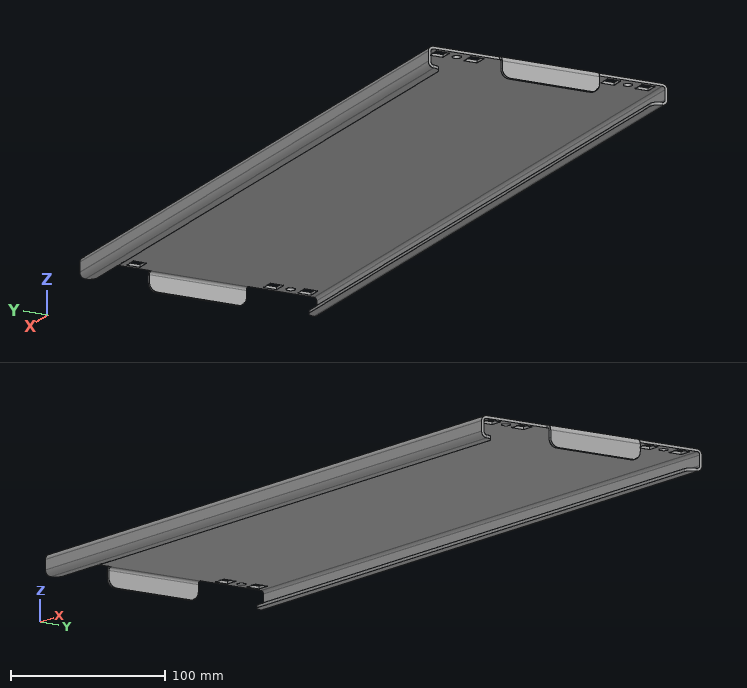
import cadquery as cq

overall_length = 499.0
width = 175.0
height = 15.0

sheet = 2.0
inner_bend_radius = 2.0
outer_bend_radius = inner_bend_radius + sheet

lip_width = 10.0
free_corner_radius = 6.0
tab_width = 71.0
panel_length = overall_length - 2 * outer_bend_radius

hole_pitch = 12.5
group_center_y = 62.5
hole_edge_distance = 8.0
square_size = 9.5
round_diameter = 6.0

SIDES = (-1, 1)


def rounded_bar(bar_width, bar_height, corner_radius):
    """Bar along X, as long as the panel, with its four long edges rounded."""
    bar = cq.Workplane("XY").box(panel_length, bar_width, bar_height)
    return bar.edges("|X").fillet(corner_radius)


def make_panel():
    """Top plate with both long sides folded down and then inwards."""
    outer = rounded_bar(width, height, outer_bend_radius)
    inner = rounded_bar(width - 2 * sheet, height - 2 * sheet, inner_bend_radius)
    lip_gap = (
        cq.Workplane("XY", origin=(0, 0, -height / 2))
        .rect(panel_length, width - 2 * lip_width)
        .extrude(sheet)
    )
    panel = outer.cut(inner).cut(lip_gap)
    lip_corners = cq.selectors.BoxSelector(
        (-overall_length, -width / 2 + outer_bend_radius, -height / 2),
        (overall_length, width / 2 - outer_bend_radius, -height / 2 + sheet),
    )
    return panel.edges("|Z").edges(lip_corners).fillet(free_corner_radius)


def make_end_tab():
    """Tab on the +X end, bent down a quarter turn from the edge of the top plate."""
    top = height / 2
    bend_start = panel_length / 2
    outer_x = overall_length / 2
    tab = (
        cq.Workplane("XZ")
        .moveTo(bend_start, top)
        .radiusArc((outer_x, top - outer_bend_radius), outer_bend_radius)
        .lineTo(outer_x, -top)
        .lineTo(outer_x - sheet, -top)
        .lineTo(outer_x - sheet, top - outer_bend_radius)
        .radiusArc((bend_start, top - sheet), -inner_bend_radius)
        .close()
        .extrude(tab_width / 2, both=True)
    )
    return tab.faces("<Z").edges("|X").fillet(free_corner_radius)


def make_corner_holes():
    """Cutters for two square holes with a round hole between them at each corner."""
    hole_x = panel_length / 2 - hole_edge_distance
    groups = [(sx * hole_x, sy * group_center_y) for sx in SIDES for sy in SIDES]
    squares = [(x, y + s * hole_pitch) for x, y in groups for s in SIDES]
    plane = cq.Workplane("XY").workplane(offset=height / 2 - sheet)
    square_cutters = plane.pushPoints(squares).rect(square_size, square_size).extrude(sheet)
    round_cutters = plane.pushPoints(groups).circle(round_diameter / 2).extrude(sheet)
    return square_cutters.union(round_cutters)


end_tab = make_end_tab()
result = make_panel().union(end_tab).union(end_tab.mirror("YZ")).cut(make_corner_holes())